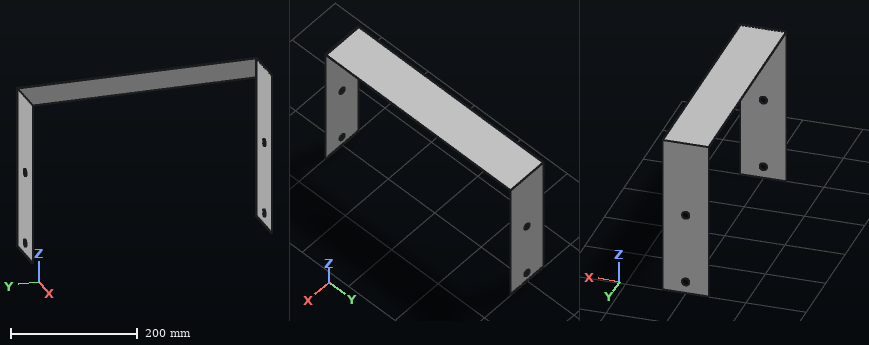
import cadquery as cq

width = 76.5
span = 400.0
height = 270.0
thickness = 1.5
hole_diameter = 12.0
lower_hole_height = 20.0
hole_spacing = 120.0


def bent_strip():
    """U-shaped strip with its open side facing down, standing on Z = 0."""
    outer = cq.Workplane("XY").box(width, span, height, centered=(True, True, False))
    inner_span = span - 2 * thickness
    inner_height = height - thickness
    inner = cq.Workplane("XY").box(width, inner_span, inner_height, centered=(True, True, False))
    return outer.cut(inner)


def leg_holes():
    """Round cutters running along Y through both legs."""
    upper_hole_height = lower_hole_height + hole_spacing
    centres = [(0, lower_hole_height), (0, upper_hole_height)]
    return (
        cq.Workplane("XZ")
        .pushPoints(centres)
        .circle(hole_diameter / 2)
        .extrude(span / 2, both=True)
    )


result = bent_strip().cut(leg_holes())